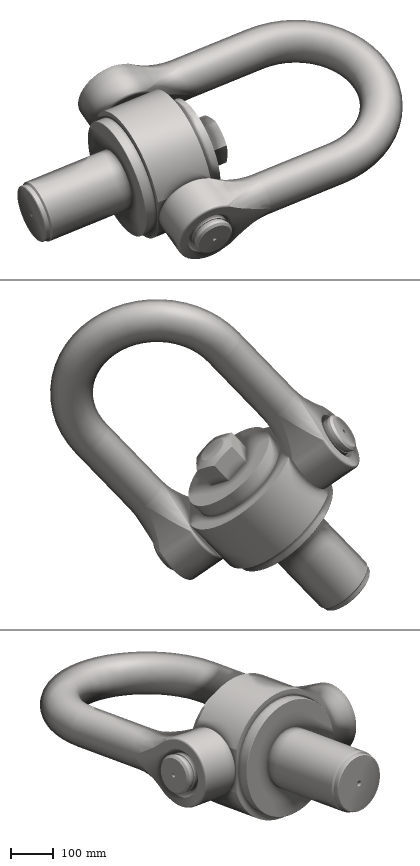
import cadquery as cq
import math


OVERALL_LENGTH = 956.0
ROD_DIAMETER = 100.0
EAR_GAP = 301.0
BOW_TOP_Y = 613.0
EAR_DIAMETER = 171.0
EAR_EDGE_FILLET = 6.0
NECK_END_Y = 160.0
FLARE_RADIUS = 191.0
PIN_DIAMETER = 95.0
COUNTERSINK_DIAMETER = 119.0

ROD_RADIUS = ROD_DIAMETER / 2
EAR_RADIUS = EAR_DIAMETER / 2
INNER_FACE_X = EAR_GAP / 2
OUTER_FACE_X = INNER_FACE_X + ROD_DIAMETER
LEG_X = INNER_FACE_X + ROD_RADIUS
BOW_CENTER_Y = BOW_TOP_Y - OUTER_FACE_X

HOUSING_DIAMETER = 320.0
HOUSING_BOTTOM_Y = -86.0
HOUSING_TOP_Y = 55.0
PIN_SPAN = 544.0
PIN_NECK_DIAMETER = 90.0
PIN_BAND_DIAMETER = 97.0
PIN_BAND_WIDTH = 6.0
PIN_END_CHAMFER_LENGTH = 6.0
PIN_END_CHAMFER_DEPTH = 5.0

RUNNING_GAP = 2.0
SHANK_DIAMETER = 180.0
FLANGE_DIAMETER = 290.0
FLANGE_BOTTOM_Y = -115.0
FLANGE_CHAMFER = 1.0
DISH_DIAMETER = 222.0
DISH_DEPTH = 1.0
STUD_DIAMETER = 150.0
STUD_SHOULDER_Y = -327.0
STUD_SHOULDER_LENGTH = 4.0
TIP_DIAMETER = 141.5
TIP_CHAMFER = 2.0
RING_DIAMETER = 245.0
RING_TOP_Y = 96.0
HEX_ACROSS_FLATS = 106.0
HEX_TOP_Y = 157.0
HEX_TOP_DIAMETER = 67.0
HEX_CHAMFER_DEPTH = 8.0

PIN_CENTER_DIAMETER = 10.0
BOLT_CENTER_DIAMETER = 6.3
BOLT_CENTER_MOUTH_DIAMETER = 14.0
CENTER_HOLE_DEPTH = 10.0

PIN_END_X = PIN_SPAN / 2
STUD_END_Y = BOW_TOP_Y - OVERALL_LENGTH
RING_BOTTOM_Y = HOUSING_TOP_Y + RUNNING_GAP
FLANGE_TOP_Y = HOUSING_BOTTOM_Y - RUNNING_GAP


def x_cylinder(diameter, start_x, end_x):
    """Cylinder about the pin axis."""
    return cq.Workplane("YZ", origin=(start_x, 0, 0)).circle(diameter / 2).extrude(end_x - start_x)


def y_cylinder(diameter, start_y, end_y):
    """Cylinder about the bolt axis."""
    return cq.Workplane("XZ", origin=(0, start_y, 0)).circle(diameter / 2).extrude(start_y - end_y)


def both_sides(right_side):
    """The shape on the +X side together with its mirror image on the -X side."""
    return right_side.union(right_side.mirror("YZ"))



def make_bow():
    path = (
        cq.Workplane("XY")
        .moveTo(LEG_X, NECK_END_Y)
        .lineTo(LEG_X, BOW_CENTER_Y)
        .threePointArc((0, BOW_CENTER_Y + LEG_X), (-LEG_X, BOW_CENTER_Y))
        .lineTo(-LEG_X, NECK_END_Y)
    )
    return cq.Workplane("XZ", origin=(LEG_X, NECK_END_Y, 0)).circle(ROD_RADIUS).sweep(path)


def make_ear_blank():
    """Round ear and its tapering neck, with rounded edges and square corners up to the rod."""
    side_radius = (NECK_END_Y**2 + ROD_RADIUS**2 - EAR_RADIUS**2) / (2 * (EAR_RADIUS - ROD_RADIUS))
    side_center_z = ROD_RADIUS + side_radius
    contact_scale = EAR_RADIUS / (EAR_RADIUS + side_radius)
    contact_y = NECK_END_Y * contact_scale
    contact_z = side_center_z * contact_scale
    half_angle = math.atan2(NECK_END_Y - contact_y, side_center_z - contact_z) / 2
    middle_y = NECK_END_Y - side_radius * math.sin(half_angle)
    middle_z = side_center_z - side_radius * math.cos(half_angle)
    blank = (
        cq.Workplane("YZ", origin=(INNER_FACE_X, 0, 0))
        .moveTo(contact_y, contact_z)
        .threePointArc((-EAR_RADIUS, 0), (contact_y, -contact_z))
        .threePointArc((middle_y, -middle_z), (NECK_END_Y, -ROD_RADIUS))
        .lineTo(NECK_END_Y, ROD_RADIUS)
        .threePointArc((middle_y, middle_z), (contact_y, contact_z))
        .close()
        .extrude(ROD_DIAMETER)
    )
    return blank.faces("<X or >X").edges("not >Y").fillet(EAR_EDGE_FILLET)


def make_flare():
    """Body of revolution about the leg axis that widens from the rod to clear the ear."""
    flare_end_y = NECK_END_Y - FLARE_RADIUS
    diagonal = FLARE_RADIUS * math.sqrt(0.5)
    return (
        cq.Workplane("XY", origin=(LEG_X, 0, 0))
        .moveTo(0, NECK_END_Y)
        .lineTo(ROD_RADIUS, NECK_END_Y)
        .threePointArc(
            (ROD_RADIUS + FLARE_RADIUS - diagonal, NECK_END_Y - diagonal),
            (ROD_RADIUS + FLARE_RADIUS, flare_end_y),
        )
        .lineTo(ROD_RADIUS + FLARE_RADIUS, -EAR_RADIUS)
        .lineTo(0, -EAR_RADIUS)
        .close()
        .revolve(360, (0, 0, 0), (0, 1, 0))
    )


def make_pin_opening():
    """Pin bore with a 45 degree countersink in the outer face of the ear."""
    countersink_depth = (COUNTERSINK_DIAMETER - PIN_DIAMETER) / 2
    countersink = cq.Solid.makeCone(
        COUNTERSINK_DIAMETER / 2,
        PIN_DIAMETER / 2,
        countersink_depth,
        cq.Vector(OUTER_FACE_X, 0, 0),
        cq.Vector(-1, 0, 0),
    )
    return x_cylinder(PIN_DIAMETER, INNER_FACE_X, OUTER_FACE_X).union(cq.Workplane(countersink))


def make_shackle():
    leg_end = make_ear_blank().intersect(make_flare()).cut(make_pin_opening())
    return make_bow().union(both_sides(leg_end))



def make_trunnion():
    journal = x_cylinder(PIN_DIAMETER, INNER_FACE_X, OUTER_FACE_X)
    neck = x_cylinder(PIN_NECK_DIAMETER, OUTER_FACE_X, PIN_END_X)
    band_start_x = PIN_END_X - PIN_END_CHAMFER_LENGTH - PIN_BAND_WIDTH
    band = x_cylinder(PIN_BAND_DIAMETER, band_start_x, PIN_END_X)
    pin = journal.union(neck).union(band)
    pin = pin.faces(">X").chamfer(PIN_END_CHAMFER_DEPTH, PIN_END_CHAMFER_LENGTH)
    hole = x_cylinder(PIN_CENTER_DIAMETER, PIN_END_X - CENTER_HOLE_DEPTH, PIN_END_X)
    return pin.cut(hole)


def make_housing():
    drum = y_cylinder(HOUSING_DIAMETER, HOUSING_BOTTOM_Y, HOUSING_TOP_Y)
    between_ears = cq.Workplane("XY").box(EAR_GAP, HOUSING_DIAMETER, HOUSING_DIAMETER)
    drum = drum.intersect(between_ears)
    bore = y_cylinder(SHANK_DIAMETER, HOUSING_BOTTOM_Y, HOUSING_TOP_Y)
    return drum.cut(bore).union(both_sides(make_trunnion()))



def make_hex_head():
    across_corners = HEX_ACROSS_FLATS / math.cos(math.pi / 6)
    height = HEX_TOP_Y - RING_TOP_Y
    head = (
        cq.Workplane("XZ", origin=(0, RING_TOP_Y, 0))
        .transformed(rotate=(0, 0, 90))
        .polygon(6, across_corners)
        .extrude(-height)
    )
    chamfer_start_y = HEX_TOP_Y - HEX_CHAMFER_DEPTH
    envelope = (
        cq.Workplane("XY")
        .moveTo(0, RING_TOP_Y)
        .lineTo(across_corners / 2, RING_TOP_Y)
        .lineTo(across_corners / 2, chamfer_start_y)
        .lineTo(HEX_TOP_DIAMETER / 2, HEX_TOP_Y)
        .lineTo(0, HEX_TOP_Y)
        .close()
        .revolve(360, (0, 0, 0), (0, 1, 0))
    )
    return head.intersect(envelope)


def make_bolt_center():
    """Cutter for the center hole in the bolt tip, with a 45 degree mouth."""
    hole_radius = BOLT_CENTER_DIAMETER / 2
    mouth_radius = BOLT_CENTER_MOUTH_DIAMETER / 2
    hole = y_cylinder(BOLT_CENTER_DIAMETER, STUD_END_Y, STUD_END_Y + CENTER_HOLE_DEPTH)
    mouth = cq.Solid.makeCone(
        mouth_radius,
        hole_radius,
        mouth_radius - hole_radius,
        cq.Vector(0, STUD_END_Y, 0),
        cq.Vector(0, 1, 0),
    )
    return hole.union(cq.Workplane(mouth))


def make_bolt():
    turned = (
        cq.Workplane("XY")
        .moveTo(0, RING_TOP_Y)
        .lineTo(SHANK_DIAMETER / 2, RING_TOP_Y)
        .lineTo(SHANK_DIAMETER / 2, FLANGE_TOP_Y)
        .lineTo(FLANGE_DIAMETER / 2, FLANGE_TOP_Y)
        .lineTo(FLANGE_DIAMETER / 2, FLANGE_BOTTOM_Y + FLANGE_CHAMFER)
        .lineTo(FLANGE_DIAMETER / 2 - FLANGE_CHAMFER, FLANGE_BOTTOM_Y)
        .lineTo(DISH_DIAMETER / 2, FLANGE_BOTTOM_Y)
        .lineTo(STUD_DIAMETER / 2, FLANGE_BOTTOM_Y + DISH_DEPTH)
        .lineTo(STUD_DIAMETER / 2, STUD_SHOULDER_Y)
        .lineTo(TIP_DIAMETER / 2, STUD_SHOULDER_Y - STUD_SHOULDER_LENGTH)
        .lineTo(TIP_DIAMETER / 2, STUD_END_Y + TIP_CHAMFER)
        .lineTo(TIP_DIAMETER / 2 - TIP_CHAMFER, STUD_END_Y)
        .lineTo(0, STUD_END_Y)
        .close()
        .revolve(360, (0, 0, 0), (0, 1, 0))
    )
    return turned.union(make_hex_head()).cut(make_bolt_center())



def make_retaining_ring():
    ring = y_cylinder(RING_DIAMETER, RING_BOTTOM_Y, RING_TOP_Y)
    return ring.cut(y_cylinder(SHANK_DIAMETER, RING_BOTTOM_Y, RING_TOP_Y))


shackle = make_shackle()
housing = make_housing()
bolt = make_bolt()
retaining_ring = make_retaining_ring()

result = cq.Compound.makeCompound(
    [shackle.val(), housing.val(), bolt.val(), retaining_ring.val()]
)